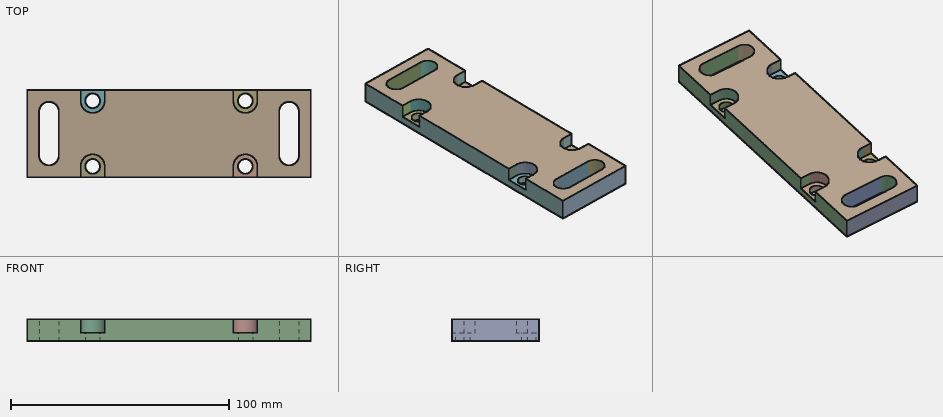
import cadquery as cq

length = 130.0
width = 40.0
thickness = 10.0

slot_width = 9.0
slot_length = 29.0
slot_spacing = 110.0

hole_diameter = 6.6
hole_spacing_x = 70.0
hole_spacing_y = 30.0
counterbore_diameter = 11.0
counterbore_depth = 6.2


def make_plate():
    """Plain rectangular plate standing on Z = 0."""
    return cq.Workplane("XY").box(length, width, thickness, centered=(True, True, False))


def make_slots():
    """Cutters for the two through slots."""
    return (
        cq.Workplane("XY")
        .rarray(slot_spacing, 1.3, 2, 1)
        .slot2D(slot_length, slot_width, 90)
        .extrude(thickness)
    )


def make_screw_seat(x, side):
    """Cutter for one screw hole and its open counterbore; side is the sign of Y."""
    y = side * hole_spacing_y / 2
    edge_distance = width / 2 - hole_spacing_y / 2
    floor = cq.Workplane("XY", origin=(x, y, thickness - counterbore_depth))
    bore = floor.circle(counterbore_diameter / 2).extrude(counterbore_depth)
    opening = (
        floor.center(0, side * edge_distance / 2)
        .rect(counterbore_diameter, edge_distance)
        .extrude(counterbore_depth)
    )
    hole = cq.Workplane("XY", origin=(x, y, 0)).circle(hole_diameter / 2).extrude(thickness)
    return bore.union(opening).union(hole)


result = make_plate().cut(make_slots())
for x in (-hole_spacing_x / 2, hole_spacing_x / 2):
    for side in (-1, 1):
        result = result.cut(make_screw_seat(x, side))